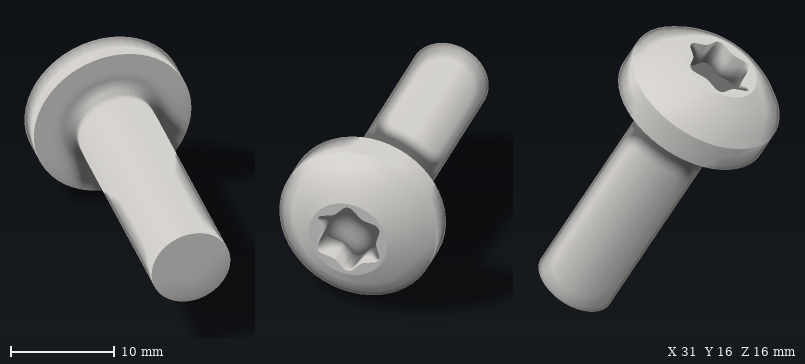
import cadquery as cq
import math

total_length = 31.0
head_diameter = 16.0
shank_diameter = head_diameter / 2
crown_diameter = head_diameter / 2
neck_diameter = 7.95

dome_height = 3.0
head_height = 2 * dome_height
neck_end = 8.52
neck_fillet = 1.2

lobe_count = 6
sharp_tip_radius = 3.9
lobe_half_angle = 44.0
tip_rounding = 0.7
valley_rounding = 1.25
recess_depth = dome_height


def screw_body():
    """Revolve the domed head, filleted neck and plain shank about X."""
    head_radius = head_diameter / 2
    crown_radius = crown_diameter / 2
    neck_radius = neck_diameter / 2
    shank_radius = shank_diameter / 2

    dome_center = (head_radius**2 + dome_height**2 - crown_radius**2) / (2 * dome_height)
    sphere_radius = math.hypot(dome_center, crown_radius)
    dome_mid_x = dome_height / 2
    dome_mid_radius = math.sqrt(sphere_radius**2 - (dome_center - dome_mid_x) ** 2)

    fillet_center_x = head_height + neck_fillet
    fillet_center_radius = neck_radius + neck_fillet
    fillet_mid_offset = neck_fillet * math.sqrt(0.5)

    profile = (
        cq.Workplane("XY")
        .moveTo(0, 0)
        .lineTo(0, crown_radius)
        .threePointArc((dome_mid_x, dome_mid_radius), (dome_height, head_radius))
        .lineTo(head_height, head_radius)
        .lineTo(head_height, fillet_center_radius)
        .threePointArc(
            (fillet_center_x - fillet_mid_offset, fillet_center_radius - fillet_mid_offset),
            (fillet_center_x, neck_radius),
        )
        .lineTo(neck_end, neck_radius)
        .lineTo(neck_end, shank_radius)
        .lineTo(total_length, shank_radius)
        .lineTo(total_length, 0)
        .close()
    )
    return profile.revolve(360, (0, 0, 0), (1, 0, 0))


def round_edges_at_radius(prism, edge_radius, rounding):
    """Fillet the edges parallel to X that lie at edge_radius from the axis."""
    tolerance = 0.0003
    chosen_edges = []
    for edge in prism.edges("|X").vals():
        center = edge.Center()
        if abs(math.hypot(center.y, center.z) - edge_radius) < tolerance:
            chosen_edges.append(edge)
    return prism.newObject(chosen_edges).fillet(rounding)


def drive_recess():
    """Six-pointed star prism with every tip and valley rounded, one tip along +Z."""
    half_pitch = 180 / lobe_count
    valley_angle = 180 - half_pitch - lobe_half_angle
    sharp_valley_radius = (
        sharp_tip_radius * math.sin(math.radians(lobe_half_angle)) / math.sin(math.radians(valley_angle))
    )
    points = []
    for index in range(2 * lobe_count):
        radius = sharp_tip_radius if index % 2 == 0 else sharp_valley_radius
        angle = math.radians(index * half_pitch)
        points.append((radius * math.sin(angle), radius * math.cos(angle)))

    star = cq.Workplane("YZ").polyline(points).close().extrude(recess_depth)
    star = round_edges_at_radius(star, sharp_valley_radius, valley_rounding)
    return round_edges_at_radius(star, sharp_tip_radius, tip_rounding)


result = screw_body().cut(drive_recess())